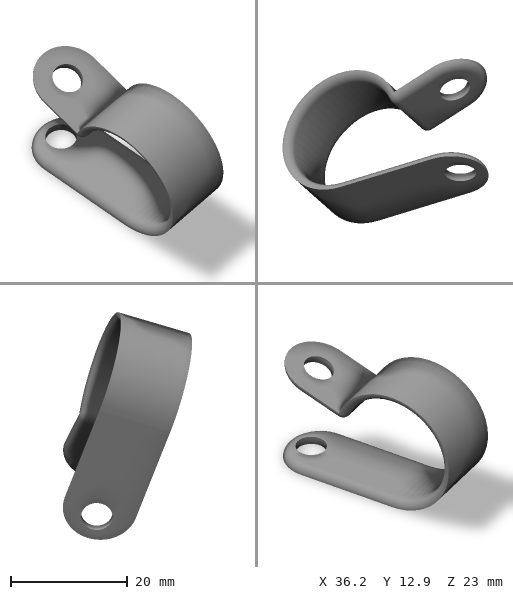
import cadquery as cq
import math

length = 36.2
width = 12.9
height = 23.0
thickness = 1.5
hole_diameter = 5.4
base_hole_from_tip = 4.55
tab_hole_from_tip = 6.05
tab_straight_length = 7.95
tab_slope = 18.8
loop_end_angle = 22.0

loop_radius = height / 2
half_width = width / 2
base_straight_length = length - loop_radius - half_width
loop_sweep = 270 - loop_end_angle
bend_sweep = 90 - tab_slope + loop_end_angle
corner_x = -loop_radius * math.cos(math.radians(loop_end_angle))
corner_z = loop_radius * math.sin(math.radians(loop_end_angle))


def band_section(half=False):
    """Band cross-section in YZ: outer face at Z = 0, inner face at Z = thickness."""
    flat_half = half_width - thickness
    arc_offset = thickness * math.sqrt(0.5)
    section = (
        cq.Workplane("YZ")
        .moveTo(0, 0)
        .lineTo(half_width, 0)
        .threePointArc((flat_half + arc_offset, arc_offset), (flat_half, thickness))
    )
    if half:
        return section.lineTo(0, thickness).close()
    return (
        section.lineTo(-flat_half, thickness)
        .threePointArc((-flat_half - arc_offset, arc_offset), (-half_width, 0))
        .close()
    )


def pad(straight_length, hole_from_tip):
    """Round-ended strap running from the origin toward -X, with its screw hole."""
    straight = band_section().extrude(-straight_length)
    round_end = (
        band_section(half=True)
        .revolve(360, (0, 0), (0, 1))
        .translate((-straight_length, 0, 0))
    )
    hole_x = hole_from_tip - straight_length - half_width
    hole = (
        cq.Workplane("XY")
        .center(hole_x, 0)
        .circle(hole_diameter / 2)
        .extrude(thickness)
    )
    return straight.union(round_end).cut(hole)


base = pad(base_straight_length, base_hole_from_tip).translate((0, 0, -loop_radius))

loop = (
    band_section()
    .revolve(loop_sweep, (0, loop_radius), (-1, loop_radius))
    .translate((0, 0, -loop_radius))
)

tab = (
    pad(tab_straight_length, tab_hole_from_tip)
    .mirror("XY")
    .rotate((0, 0, 0), (0, 1, 0), tab_slope)
    .translate((corner_x, 0, corner_z))
)

bend = (
    band_section()
    .revolve(bend_sweep, (0, 0), (1, 0))
    .rotate((0, 0, 0), (0, 1, 0), 90 + loop_end_angle)
    .translate((corner_x, 0, corner_z))
)

result = base.union(loop).union(bend).union(tab)